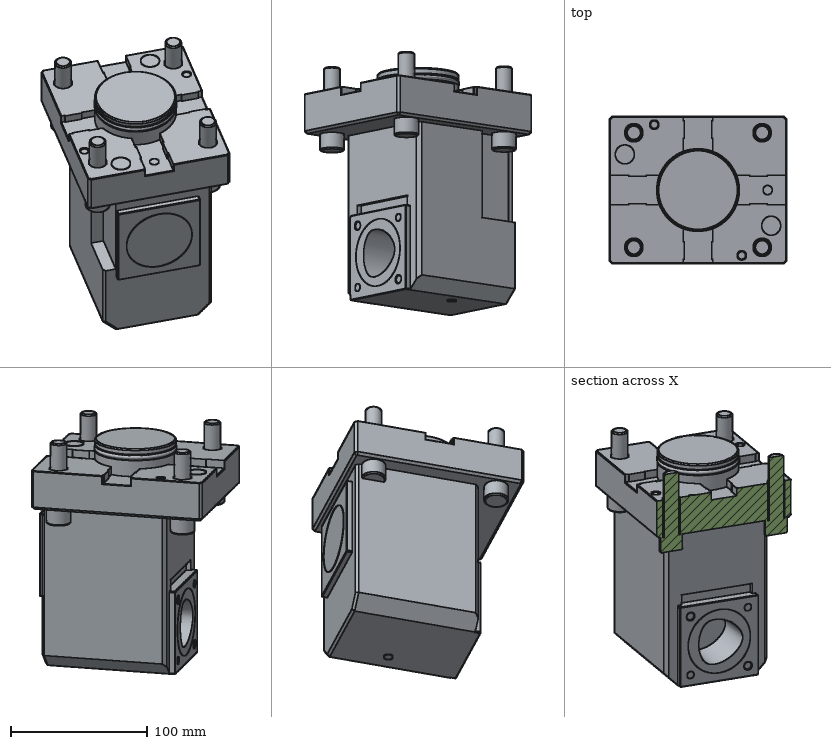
import cadquery as cq
import math


overall_height = 174.5

recess_depth = 0.2

plate_x = 130.0
plate_y = 108.0
plate_thickness = 29.5
plate_corner_chamfer = 2.0
plate_bottom_chamfer = 2.0
plate_top_chamfer = 0.5
rim_margin = 1.2

slot_width = 21.5
slot_land_width = 20.0
slot_depth = 6.0
land_start = 38.0
land_end = 50.8

spigot_diameter = 59.9
spigot_height = 15.0
spigot_chamfer = 1.0
groove_diameter = 55.2
groove_bottom = 6.3
groove_width = 4.0
groove_chamfer = 0.5
ring_outer_diameter = 60.7
ring_section = 3.5

screw_x = 47.1
screw_y = 42.0
screw_diameter = 12.0
screw_top = 20.0
screw_tip_chamfer = 1.0
clearance_diameter = 13.5
head_diameter = 18.0
head_height = 12.2
head_chamfer = 1.0

port_x = 32.1
port_y = 48.0
port_diameter = 5.5
port_mouth_diameter = 6.8
slot_recess_x = 51.1
slot_recess_diameter = 6.8
disc_x = 53.8
disc_y = 26.2
disc_diameter = 14.0
disc_height = 0.3

body_x_min = -34.4
body_x_max = 60.2
body_y = 82.7
body_bottom = -153.8
body_left_chamfer = 2.8
body_right_chamfer = 2.0
body_belly_chamfer = 10.1

pocket_x_min = 26.7
pocket_floor = -94.3
pocket_depth = 9.5

pad_size = 63.2
pad_height = 4.4
pad_face_chamfer = 0.5
pad_corner_chamfer = 0.9

tool_pad_face = body_x_min - pad_height
tool_pad_z = body_bottom + pad_size / 2
rear_pad_z = -70.2
pad_circle_diameter = 50.0
rear_disc_height = plate_x / 2 - body_x_max - pad_height
pad_hole_offset = 23.0
pad_hole_diameter = 5.5
pad_hole_mouth_diameter = 6.6

socket_radius = 17.6
socket_eccentricity = 1.2
socket_depth = 30.0
socket_wall_slope = 1 / 40
socket_bottom_radius = socket_radius - socket_depth * socket_wall_slope
socket_points = 24

relief_width = 56.5
relief_top = -82.7
relief_depth = 3.5

plug_x = 17.3
plug_y = -18.0
plug_diameter = 6.6
plug_bottom = screw_top - overall_height


def box(x_min, x_max, y_min, y_max, z_min, z_max):
    size = (x_max - x_min, y_max - y_min, z_max - z_min)
    return cq.Workplane("XY").box(*size, centered=False).translate((x_min, y_min, z_min))


def cylinder(x, y, z_min, diameter, height):
    return cq.Workplane("XY", origin=(x, y, z_min)).circle(diameter / 2).extrude(height)


def countersink(plane, outer_diameter, inner_diameter):
    """Flat-bottomed 45 degree countersink reaching into the part along the plane normal."""
    depth = (outer_diameter - inner_diameter) / 2
    return plane.circle(outer_diameter / 2).extrude(depth, taper=45)


def make_slot(length):
    """Key slot along X through the plate, with a narrower land on each side of the spigot."""
    slot = box(-length / 2, length / 2, -slot_width / 2, slot_width / 2, -slot_depth, plate_thickness)
    for side in (-1, 1):
        for end in (-1, 1):
            x_min, x_max = sorted((end * land_start, end * land_end))
            y_min, y_max = sorted((side * slot_land_width / 2, side * slot_width / 2))
            slot = slot.cut(box(x_min, x_max, y_min, y_max, -slot_depth, plate_thickness))
    return slot


def plate_rim():
    """Selects the upper edges of the plate sides, including the outlines of the slot ends."""
    inner_x = plate_x / 2 - rim_margin
    inner_y = plate_y / 2 - rim_margin
    z_min = -slot_depth - rim_margin
    outer = cq.selectors.BoxSelector((-plate_x, -plate_y, z_min), (plate_x, plate_y, rim_margin))
    inner = cq.selectors.BoxSelector((-inner_x, -inner_y, z_min), (inner_x, inner_y, rim_margin))
    return outer - inner


def make_plate():
    plate = box(-plate_x / 2, plate_x / 2, -plate_y / 2, plate_y / 2, -plate_thickness, 0)
    plate = plate.edges("|Z").chamfer(plate_corner_chamfer)
    plate = plate.faces("<Z").chamfer(plate_bottom_chamfer)
    plate = plate.cut(make_slot(plate_x))
    plate = plate.cut(make_slot(plate_x).rotate((0, 0, 0), (0, 0, 1), 90))
    plate = plate.edges(plate_rim()).chamfer(plate_top_chamfer)
    for side in (-1, 1):
        port_plane = cq.Workplane(cq.Plane((-side * port_x, side * port_y, 0), (1, 0, 0), (0, 0, -1)))
        plate = plate.cut(countersink(port_plane, port_mouth_diameter, port_diameter))
        plate = plate.union(cylinder(-side * disc_x, side * disc_y, 0, disc_diameter, disc_height))
    slot_recess = cylinder(slot_recess_x, 0, -slot_depth - recess_depth, slot_recess_diameter, recess_depth)
    return plate.cut(slot_recess)


def make_spigot():
    spigot = cylinder(0, 0, -slot_depth, spigot_diameter, slot_depth + spigot_height)
    spigot = spigot.faces(">Z").chamfer(spigot_chamfer)
    groove = cylinder(0, 0, groove_bottom, ring_outer_diameter, groove_width)
    groove = groove.cut(cylinder(0, 0, groove_bottom, groove_diameter, groove_width))
    groove_top = groove_bottom + groove_width
    bevel = cq.Workplane("XY", origin=(0, 0, groove_top)).circle(spigot_diameter / 2)
    bevel = bevel.extrude(groove_chamfer, taper=45)
    groove = groove.union(bevel.cut(cylinder(0, 0, groove_top, groove_diameter, groove_chamfer)))
    ring_radius = (ring_outer_diameter - ring_section) / 2
    ring_z = groove_bottom + ring_section / 2
    ring = cq.Workplane("XZ").center(ring_radius, ring_z).circle(ring_section / 2)
    ring = ring.revolve(360, (-ring_radius, 0, 0), (-ring_radius, 1, 0))
    return spigot.cut(groove).union(ring)


def make_screw(x, y):
    shank = cylinder(x, y, -plate_thickness, screw_diameter, plate_thickness + screw_top)
    shank = shank.faces(">Z").chamfer(screw_tip_chamfer)
    head = cylinder(x, y, -plate_thickness - head_height, head_diameter, head_height)
    head = head.faces("<Z").chamfer(head_chamfer)
    return shank.union(head)


def make_body():
    body = box(body_x_min, body_x_max, -body_y / 2, body_y / 2, body_bottom, -plate_thickness)
    body = body.edges("|X and <Z").chamfer(body_belly_chamfer)
    body = body.edges("|Z and <X").chamfer(body_left_chamfer)
    body = body.faces(">X").edges("not >Z").chamfer(body_right_chamfer)
    pocket_y = -body_y / 2 + pocket_depth
    body = body.cut(box(pocket_x_min, plate_x / 2, -plate_y / 2, pocket_y, pocket_floor, -plate_thickness))
    relief_floor = body_x_min + relief_depth
    relief = box(body_x_min, relief_floor, -relief_width / 2, relief_width / 2, tool_pad_z, relief_top)
    body = body.cut(relief)
    return body.union(cylinder(plug_x, plug_y, plug_bottom, plug_diameter, body_bottom - plug_bottom))


def make_square_pad(x_min, x_max, z, outer_face):
    half = pad_size / 2
    pad = box(x_min, x_max, -half, half, z - half, z + half)
    pad = pad.edges("|X").chamfer(pad_corner_chamfer)
    return pad.faces(outer_face).chamfer(pad_face_chamfer)


def make_tool_pad():
    """Pad on the -X end, reaching in to the floor of the relief above it."""
    return make_square_pad(tool_pad_face, body_x_min + relief_depth, tool_pad_z, "<X")


def make_rear_pad():
    pad_face = body_x_max + pad_height
    pad = make_square_pad(body_x_max, pad_face, rear_pad_z, ">X")
    disc = cq.Workplane("YZ", origin=(pad_face, 0, rear_pad_z))
    return pad.union(disc.circle(pad_circle_diameter / 2).extrude(rear_disc_height))


def socket_outline(radius):
    """Points on the three-lobed outline of the given mean radius, one lobe toward -Y."""
    e = socket_eccentricity
    points = []
    for step in range(socket_points):
        angle = 2 * math.pi * step / socket_points
        y = radius * math.cos(angle) - 2 * e * math.cos(2 * angle) + e * math.cos(4 * angle)
        z = radius * math.sin(angle) + 2 * e * math.sin(2 * angle) + e * math.sin(4 * angle)
        points.append((y, z))
    return points


def make_socket(face):
    mouth = face.spline(socket_outline(socket_radius), periodic=True).close()
    bottom = mouth.workplane(offset=socket_depth)
    bottom = bottom.spline(socket_outline(socket_bottom_radius), periodic=True).close()
    return bottom.loft(ruled=True)


def tool_pad_cuts():
    """Round recesses, lobed socket and countersinks of the tool pad."""
    face = cq.Workplane("YZ", origin=(tool_pad_face, 0, tool_pad_z))
    cuts = face.circle(pad_circle_diameter / 2).extrude(recess_depth)
    cuts = cuts.union(make_socket(face))
    for y_side in (-1, 1):
        for z_side in (-1, 1):
            center = face.center(y_side * pad_hole_offset, z_side * pad_hole_offset)
            cuts = cuts.union(center.circle(pad_hole_diameter / 2).extrude(recess_depth))
            if y_side == z_side:
                cuts = cuts.union(countersink(center, pad_hole_mouth_diameter, pad_hole_diameter))
    return cuts


result = make_plate().union(make_body()).union(make_spigot())
result = result.union(make_tool_pad()).union(make_rear_pad()).cut(tool_pad_cuts())
for x_side in (-1, 1):
    for y_side in (-1, 1):
        x, y = x_side * screw_x, y_side * screw_y
        clearance = cylinder(x, y, -plate_thickness, clearance_diameter, plate_thickness)
        result = result.cut(clearance).union(make_screw(x, y))